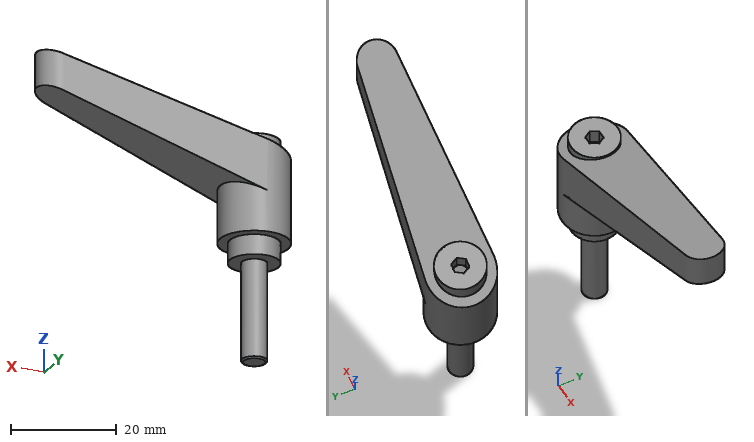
import cadquery as cq
import math

total_height = 55.7
overall_length = 52.0
hub_diameter = 14.0
hub_radius = hub_diameter / 2
tip_radius = 4.0
tip_end_x = overall_length - hub_radius
tip_center_x = tip_end_x - tip_radius

tangent_cos = (hub_radius - tip_radius) / tip_center_x
tangent_sin = math.sqrt(1 - tangent_cos**2)
hub_tangent_x = hub_radius * tangent_cos
hub_tangent_y = hub_radius * tangent_sin
tip_tangent_x = tip_center_x + tip_radius * tangent_cos
tip_tangent_y = tip_radius * tangent_sin

stud_diameter = 5.0
stud_length = 20.0
stud_chamfer = 0.35
collar_diameter = 10.0
collar_height = 4.0
hub_bottom = stud_length + collar_height

head_diameter = 10.0
head_top = 44.5
socket_across_flats = 3.0
socket_depth = 3.0
drill_point_angle = 118.0

top_slope_angle = 16.2
top_slope = math.tan(math.radians(top_slope_angle))
underside_start_z = 32.35
underside_tip_z = 48.5


def cylinder(diameter, bottom, height):
    return cq.Workplane("XY").workplane(offset=bottom).circle(diameter / 2).extrude(height)


def top_height(x):
    """Height of the sloping top face, which ends at full height at the tip."""
    return total_height - (tip_end_x - x) * top_slope


def make_handle():
    """Hub with a sloping top, joined to the tapered arm that rises from it."""
    plan = (
        cq.Workplane("XY")
        .moveTo(hub_tangent_x, hub_tangent_y)
        .threePointArc((-hub_radius, 0), (hub_tangent_x, -hub_tangent_y))
        .lineTo(tip_tangent_x, -tip_tangent_y)
        .threePointArc((tip_end_x, 0), (tip_tangent_x, tip_tangent_y))
        .close()
        .extrude(total_height)
    )
    arm_profile = (
        cq.Workplane("XZ")
        .polyline([
            (hub_tangent_x, underside_start_z),
            (tip_end_x, underside_tip_z),
            (tip_end_x, total_height),
            (hub_tangent_x, top_height(hub_tangent_x)),
        ])
        .close()
        .extrude(hub_radius, both=True)
    )
    hub_profile = (
        cq.Workplane("XZ")
        .polyline([
            (-hub_radius, hub_bottom),
            (hub_radius, hub_bottom),
            (hub_radius, top_height(hub_radius)),
            (-hub_radius, top_height(-hub_radius)),
        ])
        .close()
        .extrude(hub_radius, both=True)
    )
    hub = cylinder(hub_diameter, hub_bottom, total_height - hub_bottom).intersect(hub_profile)
    return hub.union(plan.intersect(arm_profile))


def make_socket():
    """Hexagonal key recess with a conical drill point at its floor."""
    across_corners = socket_across_flats / math.cos(math.pi / 6)
    floor = head_top - socket_depth
    hexagon = cq.Workplane("XY").workplane(offset=floor).polygon(6, across_corners).extrude(socket_depth)
    point_radius = socket_across_flats / 2
    point_depth = point_radius / math.tan(math.radians(drill_point_angle / 2))
    point = cq.Solid.makeCone(0, point_radius, point_depth, pnt=cq.Vector(0, 0, floor - point_depth))
    return hexagon.union(cq.Workplane(obj=point))


stud = cylinder(stud_diameter, 0, stud_length).faces("<Z").chamfer(stud_chamfer)
collar = cylinder(collar_diameter, stud_length, collar_height)
screw_head = cylinder(head_diameter, hub_bottom, head_top - hub_bottom)

result = make_handle().union(collar).union(stud).union(screw_head).cut(make_socket())